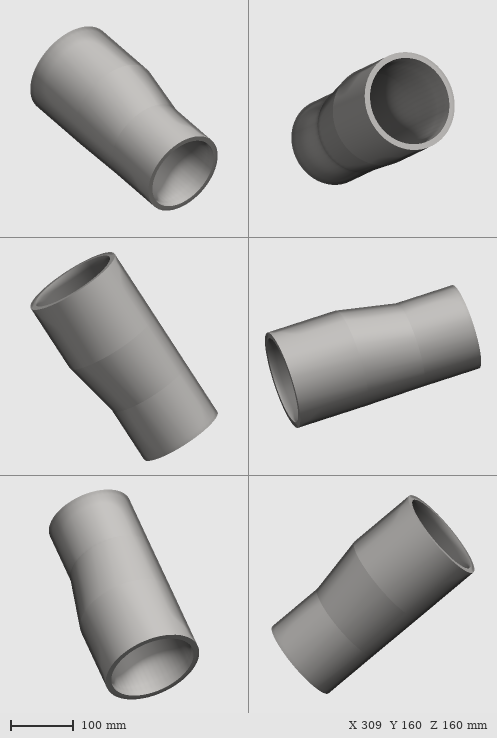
import cadquery as cq

large_outer_diameter = 160.0
large_inner_diameter = 141.0
small_outer_diameter = 140.0
small_inner_diameter = 123.4

total_length = 309.0
large_end_length = 116.5
small_end_length = 96.0
taper_length = total_length - large_end_length - small_end_length

small_end_y = -(large_outer_diameter - small_outer_diameter) / 2

taper_start_x = large_end_length
taper_end_x = taper_start_x + taper_length


def cylinder(diameter, length, start_x, center_y):
    """Round bar along +X, starting at start_x."""
    return (
        cq.Workplane("YZ", origin=(start_x, center_y, 0))
        .circle(diameter / 2)
        .extrude(length)
    )


def eccentric_taper(large_diameter, small_diameter):
    """Straight-sided transition between the offset large and small circles."""
    return (
        cq.Workplane("YZ", origin=(taper_start_x, 0, 0))
        .circle(large_diameter / 2)
        .workplane(offset=taper_length)
        .center(small_end_y, 0)
        .circle(small_diameter / 2)
        .loft(ruled=True)
    )


def reducer_body(large_diameter, small_diameter):
    """Solid reducer shape: large cylinder, eccentric taper, small cylinder."""
    large_end = cylinder(large_diameter, large_end_length, 0, 0)
    taper = eccentric_taper(large_diameter, small_diameter)
    small_end = cylinder(small_diameter, small_end_length, taper_end_x, small_end_y)
    return large_end.union(taper).union(small_end)


outer_body = reducer_body(large_outer_diameter, small_outer_diameter)
bore = reducer_body(large_inner_diameter, small_inner_diameter)

result = outer_body.cut(bore)